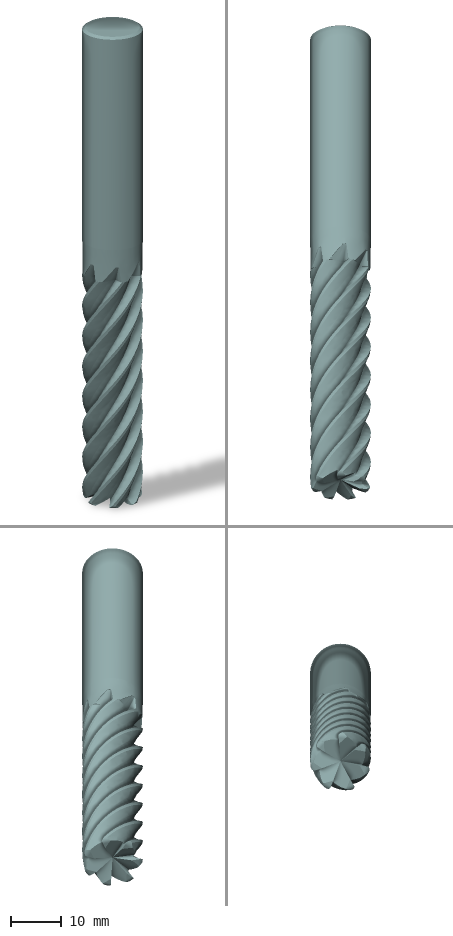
import cadquery as cq
import math

overall_length = 100.0
cutting_diameter = 12.0
cutting_radius = cutting_diameter / 2
shank_diameter = 12.0
neck_diameter = 11.8
cutting_length = 48.0
neck_radius = neck_diameter / 2
neck_end = 55.0
top_chamfer_width = 0.6
top_chamfer_height = 0.4

flute_count = 7
tooth_pitch = 360.0 / flute_count
helix_angle = 40.0
cutting_edge_angle = -103.0
core_radius = 4.2
corner_radius = 1.0
lead = math.pi * cutting_diameter / math.tan(math.radians(helix_angle))

land_end = (5.9, 7.0)
back_middle = (5.4, 17.0)
back_end = (4.8, 27.0)
root = (core_radius, 42.0)
next_edge = (cutting_radius, tooth_pitch)

runout_height = 3.3
runout_heel_angle = 13.0
runout_tip_radius = 5.8
runout_tip_angle = -8.0
runout_tip_half_angle = 4.0

gash_depth = 1.8
gash_width = 3.0
tool_overshoot = 0.5


def polar(radius, angle):
    a = math.radians(angle)
    return (radius * math.cos(a), radius * math.sin(a))


def twist_over(height):
    """Angle the flutes turn through over a height, in degrees."""
    return 360.0 * height / lead


def tooth_outline():
    """Cross-section of all teeth at the tip."""
    first = cutting_edge_angle - twist_over(cutting_length)
    outline = cq.Workplane("XY").moveTo(*polar(cutting_radius, first))
    for tooth in range(flute_count):
        edge = first + tooth * tooth_pitch

        def at(corner):
            return polar(corner[0], edge + corner[1])

        outline = outline.lineTo(*at(land_end))
        outline = outline.threePointArc(at(back_middle), at(back_end))
        outline = outline.lineTo(*at(root))
        outline = outline.lineTo(*at(next_edge))
    return outline.close()


def corner_ring():
    """Ring outside the rounded bottom rim, to be cut away from the teeth."""
    outside = cutting_radius + tool_overshoot
    inside = cutting_radius - corner_radius
    diagonal = corner_radius * math.sqrt(0.5)
    return (
        cq.Workplane("XZ")
        .moveTo(inside, 0)
        .threePointArc((inside + diagonal, corner_radius - diagonal), (cutting_radius, corner_radius))
        .lineTo(outside, corner_radius)
        .lineTo(outside, -tool_overshoot)
        .lineTo(inside, -tool_overshoot)
        .close()
        .revolve(360, (0, 0, 0), (0, 1, 0))
    )


def end_gash(edge_angle):
    """Wedge cut across the tip, deepest against the face of the tooth it clears."""
    wedge = (
        cq.Workplane("YZ")
        .lineTo(0, gash_depth)
        .lineTo(-gash_width, 0)
        .close()
        .extrude(cutting_radius + tool_overshoot)
    )
    return wedge.rotate((0, 0, 0), (0, 0, 1), edge_angle)


def make_cutter():
    """Fluted lower body: twisted teeth with rounded corners and gashed ends."""
    cutter = tooth_outline().twistExtrude(cutting_length, twist_over(cutting_length))
    cutter = cutter.cut(corner_ring())
    tip_edge = cutting_edge_angle - twist_over(cutting_length)
    for tooth in range(flute_count):
        cutter = cutter.cut(end_gash(tip_edge + tooth * tooth_pitch))
    return cutter


def runout_section(workplane, points):
    return workplane.polyline([polar(*point) for point in points]).close()


def flute_runout(edge_angle):
    """Pocket that carries one flute up into the neck and narrows to a small tip."""
    outside = neck_radius + tool_overshoot
    rake = edge_angle + tooth_pitch
    tip = rake + runout_tip_angle
    joint = cq.Workplane("XY").workplane(offset=cutting_length)
    foot = runout_section(joint, [
        (outside, edge_angle + runout_heel_angle),
        (neck_radius, edge_angle + runout_heel_angle),
        (back_end[0], edge_angle + back_end[1]),
        (core_radius, edge_angle + root[1]),
        (outside, rake),
    ])
    return runout_section(foot.workplane(offset=runout_height), [
        (outside, tip - runout_tip_half_angle),
        (neck_radius, tip - runout_tip_half_angle),
        (runout_tip_radius, tip - runout_tip_half_angle / 2),
        (runout_tip_radius, tip + runout_tip_half_angle / 2),
        (outside, tip + runout_tip_half_angle),
    ]).loft(ruled=True)


def make_shank():
    """Upper body: tapered neck and chamfered shank, with the flutes running out in the neck."""
    shank_radius = shank_diameter / 2
    shank = (
        cq.Workplane("XZ")
        .moveTo(0, cutting_length)
        .lineTo(neck_radius, cutting_length)
        .lineTo(shank_radius, neck_end)
        .lineTo(shank_radius, overall_length - top_chamfer_height)
        .lineTo(shank_radius - top_chamfer_width, overall_length)
        .lineTo(0, overall_length)
        .close()
        .revolve(360, (0, 0, 0), (0, 1, 0))
    )
    for tooth in range(flute_count):
        shank = shank.cut(flute_runout(cutting_edge_angle + tooth * tooth_pitch))
    return shank


cutter = make_cutter()
shank = make_shank()
result = cq.Compound.makeCompound([cutter.solids().val(), shank.solids().val()])